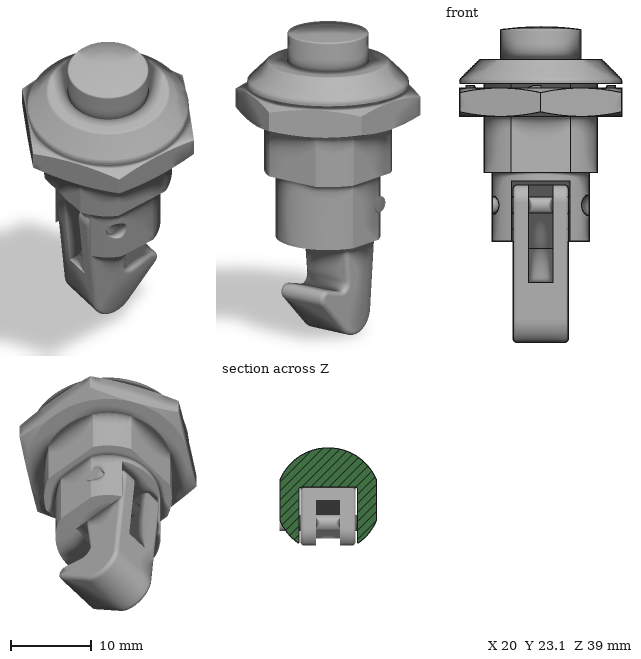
import cadquery as cq
import math

overall_length = 39

flange_diameter = 20.0
flange_height = 3.0
flange_top_diameter = 15.0
flange_edge_radius = 0.5
button_bore_diameter = 10.1
button_bore_depth = flange_height
shank_diameter = 15.8
shank_flats = 14.0
shank_length = 11.0
collar_diameter = 13.0
collar_flats = 12.0
collar_bottom = -19.5

pocket_width = 7.2
pocket_top = -12.0
pocket_back = 1.55
pocket_corner_radius = 0.27
relief_top = -17.95
relief_back = 2.35

button_diameter = 10.0
button_travel = 4.0
button_dome_height = 0.35
button_edge_radius = 0.2

nut_sides = 6
nut_flats = flange_diameter
nut_height = 3.5
nut_gap = 0.55
nut_chamfer_angle = 20
tooth_count = 4
tooth_inner_radius = 8.23
tooth_outer_radius = 9.25
tooth_length = 1.65
tooth_flat_length = 0.9
tooth_height = 0.3

pin_diameter = 2.0
pin_hole_diameter = 2.2
pin_far_hole_diameter = 2.5
pin_y = -2.85
pin_z = -15.0
pin_length = 11.0

lever_width = 6.82
lever_bottom = flange_height + button_travel - overall_length
lever_top = -12.5
lever_top_radius = 2.0
lever_front_y = -5.6
lever_bore_diameter = pin_hole_diameter
lever_front_lean = 5
lever_back_lean = 6
heel_radius = 3.0
heel_slope = 45
hook_radius = 1.0
hook_face_slope = 15
throat_y = 0.05
throat_z = -26.25
lever_edge_radius = 0.5
window_width = 3.0
window_bottom = -24.55
window_floor_end = -3.4
window_back = 0.0
window_slope_top = -20.35


def block(width, depth, top, bottom):
    """Upright block centred on the axis between two heights."""
    return cq.Workplane("XY").workplane(offset=bottom).rect(width, depth).extrude(top - bottom)


def cylinder(diameter, top, bottom):
    """Upright cylinder on the axis between two heights."""
    return cq.Workplane("XY").workplane(offset=bottom).circle(diameter / 2).extrude(top - bottom)


def cross_cylinder(diameter, y, z, x_start, length):
    """Cylinder along +X that starts at x_start."""
    return cq.Workplane("YZ", origin=(x_start, y, z)).circle(diameter / 2).extrude(length)


def make_flange():
    """Flange with a 45 degree conical top and rounded edges."""
    outer = flange_diameter / 2
    inner = flange_top_diameter / 2
    rim_height = flange_height - (outer - inner)
    return (
        cq.Workplane("XZ")
        .polyline([(0, 0), (outer, 0), (outer, rim_height), (inner, flange_height), (0, flange_height)])
        .close()
        .revolve(360, (0, 0, 0), (0, 1, 0))
        .edges("%CIRCLE")
        .edges("not <Z")
        .fillet(flange_edge_radius)
    )


def pocket_block(top, back):
    """Cutter open to the front and the bottom, with rounded rear corners."""
    front = -collar_diameter
    return (
        cq.Workplane("XY")
        .workplane(offset=collar_bottom)
        .center(0, (front + back) / 2)
        .rect(pocket_width, back - front)
        .extrude(top - collar_bottom)
        .edges("|Z and >Y")
        .fillet(pocket_corner_radius)
    )


def make_housing():
    shank = cylinder(shank_diameter, 0, -shank_length).intersect(
        block(shank_flats, shank_flats, 0, -shank_length)
    )
    collar = cylinder(collar_diameter, -shank_length, collar_bottom).intersect(
        block(collar_flats, collar_diameter, -shank_length, collar_bottom)
    )
    body = make_flange().union(shank).union(collar)
    body = body.cut(cylinder(button_bore_diameter, flange_height, flange_height - button_bore_depth))
    body = body.cut(pocket_block(pocket_top, pocket_back))
    body = body.cut(pocket_block(relief_top, relief_back))
    near_hole = cross_cylinder(pin_hole_diameter, pin_y, pin_z, -collar_diameter, collar_diameter)
    far_hole = cross_cylinder(pin_far_hole_diameter, pin_y, pin_z, 0, collar_diameter)
    return body.cut(near_hole).cut(far_hole)


def make_button():
    """Round push button with a shallow domed top."""
    radius = button_diameter / 2
    bottom = flange_height - button_bore_depth
    top = flange_height + button_travel
    shoulder = top - button_dome_height
    dome_radius = (radius**2 + button_dome_height**2) / (2 * button_dome_height)
    half_angle = math.asin(radius / dome_radius) / 2
    dome_middle = (dome_radius * math.sin(half_angle), top - dome_radius * (1 - math.cos(half_angle)))
    return (
        cq.Workplane("XZ")
        .moveTo(0, bottom)
        .lineTo(radius, bottom)
        .lineTo(radius, shoulder)
        .threePointArc(dome_middle, (0, top))
        .close()
        .revolve(360, (0, 0, 0), (0, 1, 0))
        .edges(cq.selectors.NearestToPointSelector((0, 0, shoulder)))
        .fillet(button_edge_radius)
    )


def make_tooth(angle, base):
    """Ramp, short flat and upright end face, within a ring on the nut."""
    crest = base + tooth_height
    ring = (
        cq.Workplane("XY")
        .workplane(offset=base)
        .circle(tooth_outer_radius)
        .circle(tooth_inner_radius)
        .extrude(tooth_height)
    )
    wedge = (
        cq.Workplane("XZ")
        .polyline([(-tooth_length, base), (0, base), (0, crest), (-tooth_flat_length, crest)])
        .close()
        .extrude(flange_diameter)
    )
    return ring.intersect(wedge).rotate((0, 0, 0), (0, 0, 1), angle)


def make_nut():
    top = -nut_gap
    bottom = top - nut_height
    half_side_angle = 360 / nut_sides / 2
    face_radius = nut_flats / 2
    corner_radius = face_radius / math.cos(math.radians(half_side_angle))
    drop = (corner_radius - face_radius) * math.tan(math.radians(nut_chamfer_angle))
    hexagon = (
        cq.Workplane("XY")
        .workplane(offset=bottom)
        .polygon(nut_sides, 2 * corner_radius)
        .extrude(nut_height)
        .rotate((0, 0, 0), (0, 0, 1), half_side_angle)
    )
    chamfer_envelope = (
        cq.Workplane("XZ")
        .polyline([
            (0, bottom),
            (face_radius, bottom),
            (corner_radius, bottom + drop),
            (corner_radius, top - drop),
            (face_radius, top),
            (0, top),
        ])
        .close()
        .revolve(360, (0, 0, 0), (0, 1, 0))
    )
    nut = hexagon.intersect(chamfer_envelope)
    for index in range(tooth_count):
        nut = nut.union(make_tooth(index * 360 / tooth_count, top))
    return nut.cut(cylinder(shank_diameter, 0, bottom))


def make_pin():
    """Pivot pin, flush with the -X flat of the collar."""
    return cross_cylinder(pin_diameter, pin_y, pin_z, -collar_flats / 2, pin_length)


def lever_corners():
    """Corners of the lever outline in (y, z), before they are rounded."""
    front_slope = math.tan(math.radians(lever_front_lean))
    back_slope = math.tan(math.radians(lever_back_lean))
    face_slope = math.tan(math.radians(hook_face_slope))
    diagonal_slope = math.tan(math.radians(heel_slope))

    front_offset = 1 / math.cos(math.radians(lever_front_lean))
    heel_z = lever_bottom + heel_radius
    heel_y = lever_front_y + (pin_z - heel_z) * front_slope + heel_radius * front_offset

    diagonal_at_zero = heel_z - diagonal_slope * heel_y - heel_radius / math.cos(math.radians(heel_slope))
    face_at_zero = throat_z - face_slope * throat_y

    front_top = (lever_front_y - (lever_top - pin_z) * front_slope, lever_top)
    front_line_at_zero = lever_front_y + pin_z * front_slope
    heel_corner_y = (front_line_at_zero - diagonal_at_zero * front_slope) / (1 + diagonal_slope * front_slope)
    heel_corner = (heel_corner_y, diagonal_at_zero + diagonal_slope * heel_corner_y)
    tip_y = (face_at_zero - diagonal_at_zero) / (diagonal_slope - face_slope)
    tip = (tip_y, face_at_zero + face_slope * tip_y)
    throat = (throat_y, throat_z)
    back_top = (throat_y + (lever_top - throat_z) * back_slope, lever_top)
    return front_top, heel_corner, tip, throat, back_top


def round_corner(body, corner, radius):
    """Round the edge along X that passes through a corner of the outline."""
    y, z = corner
    return body.edges(cq.selectors.NearestToPointSelector((0, y, z))).fillet(radius)


def make_lever():
    front_top, heel_corner, tip, throat, back_top = lever_corners()
    lever = (
        cq.Workplane("YZ")
        .polyline([front_top, heel_corner, tip, throat, back_top])
        .close()
        .extrude(lever_width / 2, both=True)
    )
    lever = round_corner(lever, front_top, lever_top_radius)
    lever = round_corner(lever, heel_corner, heel_radius)
    lever = round_corner(lever, tip, hook_radius)
    lever = round_corner(lever, throat, hook_radius)
    lever = lever.faces("<X or >X").edges().fillet(lever_edge_radius)

    front = front_top[0]
    window = (
        cq.Workplane("YZ")
        .polyline([
            (front, window_bottom),
            (window_floor_end, window_bottom),
            (window_back, window_slope_top),
            (window_back, lever_top),
            (front, lever_top),
        ])
        .close()
        .extrude(window_width / 2, both=True)
    )
    bore = cross_cylinder(lever_bore_diameter, pin_y, pin_z, -lever_width / 2, lever_width)
    return lever.cut(window).cut(bore)


housing = make_housing()
button = make_button()
nut = make_nut()
pin = make_pin()
lever = make_lever()

result = cq.Compound.makeCompound([housing.val(), button.val(), nut.val(), pin.val(), lever.val()])